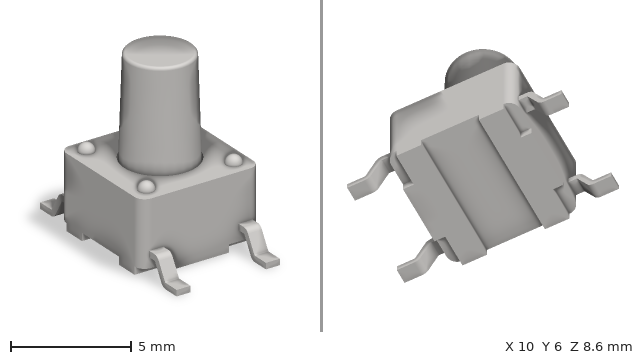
import cadquery as cq
import math

HOUSING_SIDE = 6.0
HOUSING_TOP = 3.7
STANDOFF = 0.1
CORNER_RADIUS = 0.5

RELIEF_DEPTH = 0.38
CHANNEL_WIDTH = 2.7
NOTCH_X = CORNER_RADIUS
SIDE_FOOT_WIDTH = 2.85

STUD_DIAMETER = 0.75
STUD_HEIGHT = 0.4
STUD_OFFSET = 2.2

LEAD_SPAN = 10.0
LEAD_WIDTH = 0.7
LEAD_THICKNESS = 0.3
LEAD_TOP = 1.3
LEAD_OFFSET_Y = 2.25
LEAD_SLOPE_ANGLE = math.radians(60)
LEAD_INNER_RADIUS = 0.075
LEAD_OUTER_RADIUS = 0.35
LEAD_SHOULDER = 0.38
LEAD_OVERLAP = 0.2

BUTTON_TOP = 8.6
BUTTON_BASE = 3.2
BORE_DIAMETER = 3.6
BUTTON_BASE_DIAMETER = 3.51
BUTTON_TOP_DIAMETER = 3.16
BUTTON_EDGE_RADIUS = 0.15

HALF_SIDE = HOUSING_SIDE / 2
RELIEF_TOP = STANDOFF + RELIEF_DEPTH


def make_block():
    """Square block with corners rounded above the relief and notched below it."""
    upper = (
        cq.Workplane("XY", origin=(0, 0, RELIEF_TOP))
        .rect(HOUSING_SIDE, HOUSING_SIDE)
        .extrude(HOUSING_TOP - RELIEF_TOP)
        .edges("|Z")
        .fillet(CORNER_RADIUS)
    )
    base_plane = cq.Workplane("XY", origin=(0, 0, STANDOFF))
    along_y = base_plane.rect(HOUSING_SIDE - 2 * NOTCH_X, HOUSING_SIDE).extrude(RELIEF_DEPTH)
    along_x = base_plane.rect(HOUSING_SIDE, SIDE_FOOT_WIDTH).extrude(RELIEF_DEPTH)
    channel = base_plane.rect(CHANNEL_WIDTH, HOUSING_SIDE).extrude(RELIEF_DEPTH)
    return upper.union(along_y).union(along_x).cut(channel)


def make_stud():
    """Short cylinder capped by a hemisphere, starting on the housing top."""
    radius = STUD_DIAMETER / 2
    neck = STUD_HEIGHT - radius
    return (
        cq.Workplane("XZ")
        .lineTo(radius, 0)
        .lineTo(radius, neck)
        .radiusArc((0, STUD_HEIGHT), -radius)
        .close()
        .revolve(360, (0, 0), (0, 1))
        .translate((0, 0, HOUSING_TOP))
    )


def make_lead():
    """Gull-wing lead on the +X side, centred on Y = 0."""
    miter = LEAD_THICKNESS * math.tan(LEAD_SLOPE_ANGLE / 2)
    drop = LEAD_TOP - LEAD_THICKNESS
    run = drop / math.tan(LEAD_SLOPE_ANGLE)
    outer_tangent = LEAD_OUTER_RADIUS * math.tan(LEAD_SLOPE_ANGLE / 2)

    upper_outer_x = HALF_SIDE + LEAD_SHOULDER + outer_tangent
    upper_inner_x = upper_outer_x - miter
    lower_outer_x = upper_inner_x + run
    lower_inner_x = upper_outer_x + run
    root_x = HALF_SIDE - LEAD_OVERLAP
    tip_x = LEAD_SPAN / 2

    lead = (
        cq.Workplane("XZ")
        .polyline([
            (root_x, LEAD_TOP),
            (upper_outer_x, LEAD_TOP),
            (lower_inner_x, LEAD_THICKNESS),
            (tip_x, LEAD_THICKNESS),
            (tip_x, 0),
            (lower_outer_x, 0),
            (upper_inner_x, drop),
            (root_x, drop),
        ])
        .close()
        .extrude(LEAD_WIDTH / 2, both=True)
    )
    outer_bends = [(upper_outer_x, LEAD_TOP), (lower_outer_x, 0)]
    inner_bends = [(upper_inner_x, drop), (lower_inner_x, LEAD_THICKNESS)]
    for bends, radius in ((outer_bends, LEAD_OUTER_RADIUS), (inner_bends, LEAD_INNER_RADIUS)):
        for x, z in bends:
            lead = lead.edges(cq.NearestToPointSelector((x, 0, z))).fillet(radius)
    return lead


def make_housing():
    """Block with its bore, studs and four leads as one solid."""
    bore = (
        cq.Workplane("XY", origin=(0, 0, BUTTON_BASE))
        .circle(BORE_DIAMETER / 2)
        .extrude(HOUSING_TOP - BUTTON_BASE)
    )
    body = make_block().cut(bore)
    stud = make_stud()
    right_lead = make_lead()
    left_lead = right_lead.mirror("YZ")
    for side_y in (-1, 1):
        for side_x, lead in ((-1, left_lead), (1, right_lead)):
            body = body.union(stud.translate((side_x * STUD_OFFSET, side_y * STUD_OFFSET, 0)))
            body = body.union(lead.translate((0, side_y * LEAD_OFFSET_Y, 0)))
    return body


def make_button():
    """Tapered plunger standing on the bore floor, with a rounded top edge."""
    return (
        cq.Workplane("XZ")
        .moveTo(0, BUTTON_BASE)
        .lineTo(BUTTON_BASE_DIAMETER / 2, BUTTON_BASE)
        .lineTo(BUTTON_TOP_DIAMETER / 2, BUTTON_TOP)
        .lineTo(0, BUTTON_TOP)
        .close()
        .revolve(360, (0, 0), (0, 1))
        .faces(">Z")
        .edges()
        .fillet(BUTTON_EDGE_RADIUS)
    )


housing = make_housing()
button = make_button()

result = cq.Compound.makeCompound([housing.val(), button.val()])